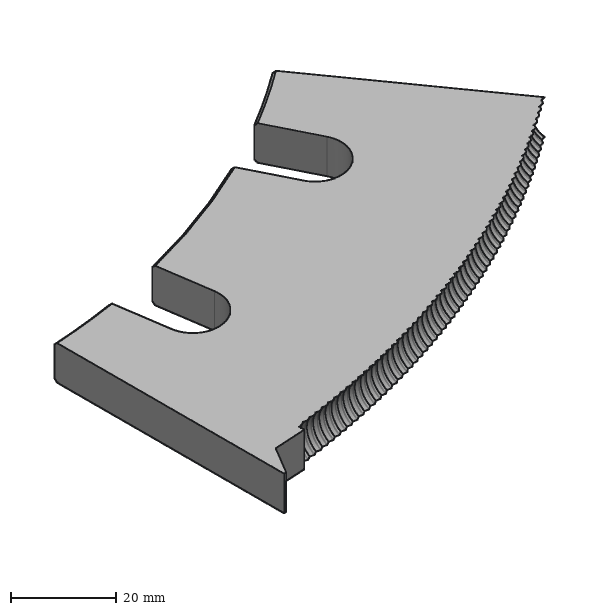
import cadquery as cq
import math

span_y = 118.9
thickness = 9.5
inner_radius = 159.8
outer_radius = 212.1
inner_chamfer = 0.7
sector_angle = math.degrees(math.asin(span_y / outer_radius))

foot_tip_x = 219.6
foot_tip_height = 0.6
foot_flat_x = 213.0
foot_flat_start = 4.6
foot_top = 12.6

slot_width = 14.3
slot_centre_radius = 174.0
slot_angles = [8.3, 25.6]

throat_radius = 6.0
tooth_angle = 0.526
tooth_depth = 0.2
tooth_crest_width = 0.1
ring_overlap = 0.06
ring_sweep = 130.0

half_thickness = thickness / 2
throat_axis_radius = outer_radius + math.sqrt(throat_radius**2 - half_thickness**2)
throat_start_angle = math.degrees(math.asin(foot_top / outer_radius))


def polar(radius, angle):
    """Point at a radius and an angle in degrees."""
    return radius * math.cos(math.radians(angle)), radius * math.sin(math.radians(angle))


def sector_body():
    """Plate outline with the inner arc edges chamfered."""
    shoulder = polar(outer_radius, throat_start_angle)
    body = (
        cq.Workplane("XY")
        .workplane(offset=-half_thickness)
        .moveTo(inner_radius, 0)
        .lineTo(foot_tip_x, 0)
        .lineTo(foot_tip_x, foot_tip_height)
        .lineTo(foot_flat_x, foot_flat_start)
        .lineTo(foot_flat_x, foot_top)
        .lineTo(*shoulder)
        .threePointArc(
            polar(outer_radius, (throat_start_angle + sector_angle) / 2),
            polar(outer_radius, sector_angle),
        )
        .lineTo(*polar(inner_radius, sector_angle))
        .threePointArc(polar(inner_radius, sector_angle / 2), (inner_radius, 0))
        .close()
        .extrude(thickness)
    )
    inner_middle = (*polar(inner_radius, sector_angle / 2), 0)
    inner_face = body.faces(cq.selectors.NearestToPointSelector(inner_middle))
    return inner_face.edges("%CIRCLE").chamfer(inner_chamfer)


def slot_cutter(angle):
    """Round-ended slot running inward through the inner arc."""
    length = slot_centre_radius - inner_radius + slot_width
    channel = (
        cq.Workplane("XY")
        .box(length, slot_width, 2 * thickness)
        .translate((slot_centre_radius - length / 2, 0, 0))
    )
    round_end = (
        cq.Workplane("XY")
        .center(slot_centre_radius, 0)
        .circle(slot_width / 2)
        .extrude(thickness, both=True)
    )
    return channel.union(round_end).rotate((0, 0, 0), (0, 0, 1), angle)


def throat_cutter():
    """Part of a torus that hollows the outer edge from the foot to the far end."""
    sweep = sector_angle - throat_start_angle + tooth_angle
    return (
        cq.Workplane("XZ")
        .center(throat_axis_radius, 0)
        .circle(throat_radius)
        .revolve(sweep, (-throat_axis_radius, 0), (-throat_axis_radius, 1))
        .rotate((0, 0, 0), (0, 0, 1), throat_start_angle)
    )


def tooth_gap_cutter(angle):
    """V-edged part ring around the throat axis that forms one gap between teeth."""
    base = throat_axis_radius - throat_radius
    half_gap = (base * math.radians(tooth_angle) - tooth_crest_width) / 2
    return (
        cq.Workplane("XY")
        .moveTo(base + ring_overlap, -half_gap)
        .lineTo(base, -half_gap)
        .lineTo(base - tooth_depth, 0)
        .lineTo(base, half_gap)
        .lineTo(base + ring_overlap, half_gap)
        .close()
        .revolve(ring_sweep, (throat_axis_radius, 0), (throat_axis_radius, 1))
        .rotate((throat_axis_radius, 0, 0), (throat_axis_radius, 1, 0), -ring_sweep / 2)
        .rotate((0, 0, 0), (0, 0, 1), angle)
        .val()
    )


result = sector_body()
for slot_angle in slot_angles:
    result = result.cut(slot_cutter(slot_angle))
result = result.cut(throat_cutter())

tooth_count = int((sector_angle - throat_start_angle) / tooth_angle)
tooth_gaps = [tooth_gap_cutter(sector_angle - (i + 0.5) * tooth_angle) for i in range(tooth_count)]
result = cq.Workplane(result.val().cut(*tooth_gaps)).solids()